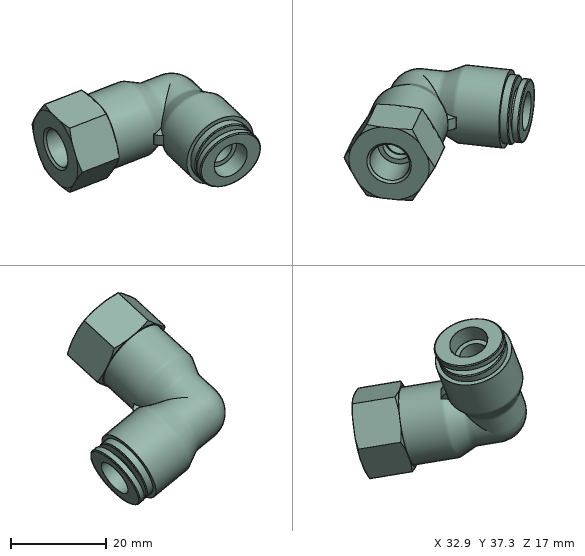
import cadquery as cq
import math


body_dia = 16.6
body_radius = body_dia / 2
neck_dia = 12.98
neck_radius = neck_dia / 2
arm_length = 18.95
flare_start = 5.35
flare_end = 9.25
flare_blend_radius = 1.85
flow_dia = 6.0

web_thickness = 2.6
web_reach = 9.77
web_bulge = 0.1

overall_length = 37.3
hex_across_flats = 17.0
hex_end = overall_length - body_radius
hex_length = hex_end - arm_length
hex_face_dia = 17.3
hex_chamfer_angle = 20.0
thread_dia = 8.58
thread_mouth_dia = 9.6
thread_depth = 8.0
adapter_bore_dia = 6.4

ring_dia = 14.7
ring_length = 1.83
ring_chamfer = 0.22

collar_stem_dia = 9.6
collar_bore_dia = 8.2
collar_gap = 0.85
flange_length = 1.45
flange_width = 15.1
flange_height = 13.0
flange_chamfer = 0.22


def turn_to_adapter(shape):
    """Turn a shape built along +X so that it points along -Y."""
    return shape.rotate((0, 0, 0), (0, 0, 1), -90)


def disc(dia, length, start):
    """Cylinder on the X axis, beginning at X = start."""
    return cq.Workplane("YZ", origin=(start, 0, 0)).circle(dia / 2).extrude(length)


def make_arm():
    """Arm along +X that flares from the neck to the body diameter through blended corners."""
    flare_angle = math.atan2(body_radius - neck_radius, flare_end - flare_start)
    cos_angle = math.cos(flare_angle)
    sin_angle = math.sin(flare_angle)
    tangent_length = flare_blend_radius * math.tan(flare_angle / 2)
    corner_gap = flare_blend_radius * (1 / math.cos(flare_angle / 2) - 1)
    gap_x = corner_gap * math.sin(flare_angle / 2)
    gap_r = corner_gap * math.cos(flare_angle / 2)
    along_x = tangent_length * cos_angle
    along_r = tangent_length * sin_angle
    return (
        cq.Workplane("XY")
        .lineTo(0, neck_radius)
        .lineTo(flare_start - tangent_length, neck_radius)
        .threePointArc(
            (flare_start - gap_x, neck_radius + gap_r),
            (flare_start + along_x, neck_radius + along_r),
        )
        .lineTo(flare_end - along_x, body_radius - along_r)
        .threePointArc(
            (flare_end + gap_x, body_radius - gap_r),
            (flare_end + tangent_length, body_radius),
        )
        .lineTo(arm_length, body_radius)
        .lineTo(arm_length, 0)
        .close()
        .revolve(360, (0, 0, 0), (1, 0, 0))
    )


def make_web():
    """Flat web across the inner corner, with a slightly bulged outer edge."""
    edge_middle = (body_radius + web_reach) / 2 + web_bulge / math.sqrt(2)
    return (
        cq.Workplane("XY", origin=(0, 0, -web_thickness / 2))
        .lineTo(web_reach, 0)
        .lineTo(web_reach, -body_radius)
        .threePointArc((edge_middle, -edge_middle), (body_radius, -web_reach))
        .lineTo(0, -web_reach)
        .close()
        .extrude(web_thickness)
    )


def make_housing():
    """Elbow with a ball-shaped outer corner and a flow passage through both arms."""
    arm = make_arm()
    ball = cq.Workplane("XY").sphere(neck_radius)
    solid = arm.union(turn_to_adapter(arm)).union(ball).union(make_web())
    passage = disc(flow_dia, arm_length, 0)
    passage_ball = cq.Workplane("XY").sphere(flow_dia / 2)
    return solid.cut(passage.union(turn_to_adapter(passage)).union(passage_ball))


def make_hex_envelope():
    """Turned blank whose conical ends chamfer the corners of the hexagon."""
    corner_radius = hex_across_flats / math.sqrt(3)
    face_radius = hex_face_dia / 2
    chamfer_depth = (corner_radius - face_radius) * math.tan(math.radians(hex_chamfer_angle))
    return (
        cq.Workplane("XY")
        .moveTo(arm_length, 0)
        .lineTo(arm_length, face_radius)
        .lineTo(arm_length + chamfer_depth, corner_radius)
        .lineTo(hex_end - chamfer_depth, corner_radius)
        .lineTo(hex_end, face_radius)
        .lineTo(hex_end, 0)
        .close()
        .revolve(360, (0, 0, 0), (1, 0, 0))
    )


def make_adapter():
    """Hexagonal adapter with a threaded socket and a smaller bore to the housing."""
    corner_dia = 2 * hex_across_flats / math.sqrt(3)
    prism = cq.Workplane("YZ", origin=(arm_length, 0, 0)).polygon(6, corner_dia).extrude(hex_length)
    mouth_depth = (thread_mouth_dia - thread_dia) / 2
    mouth = (
        cq.Workplane("YZ", origin=(hex_end, 0, 0))
        .circle(thread_mouth_dia / 2)
        .workplane(offset=-mouth_depth)
        .circle(thread_dia / 2)
        .loft(ruled=True)
    )
    adapter = (
        prism.intersect(make_hex_envelope())
        .cut(disc(adapter_bore_dia, hex_length, arm_length))
        .cut(disc(thread_dia, thread_depth, hex_end - thread_depth))
        .cut(mouth)
    )
    return turn_to_adapter(adapter)


def make_ring():
    """Retaining ring on the end of the housing, around the collar stem."""
    return (
        disc(ring_dia, ring_length, arm_length)
        .faces(">X")
        .chamfer(ring_chamfer)
        .cut(disc(collar_stem_dia, ring_length, arm_length))
    )


def make_collar():
    """Release collar: a round stem through the ring and an oval push flange, bored for the tube."""
    stem_length = ring_length + collar_gap
    flange_start = arm_length + stem_length
    flange = (
        cq.Workplane("YZ", origin=(flange_start, 0, 0))
        .ellipse(flange_width / 2, flange_height / 2)
        .extrude(flange_length)
        .faces(">X")
        .chamfer(flange_chamfer)
    )
    stem = disc(collar_stem_dia, stem_length, arm_length)
    bore = disc(collar_bore_dia, stem_length + flange_length, arm_length)
    return stem.union(flange).cut(bore)


housing = make_housing()
adapter = make_adapter()
ring = make_ring()
collar = make_collar()

result = cq.Compound.makeCompound([housing.val(), adapter.val(), ring.val(), collar.val()])